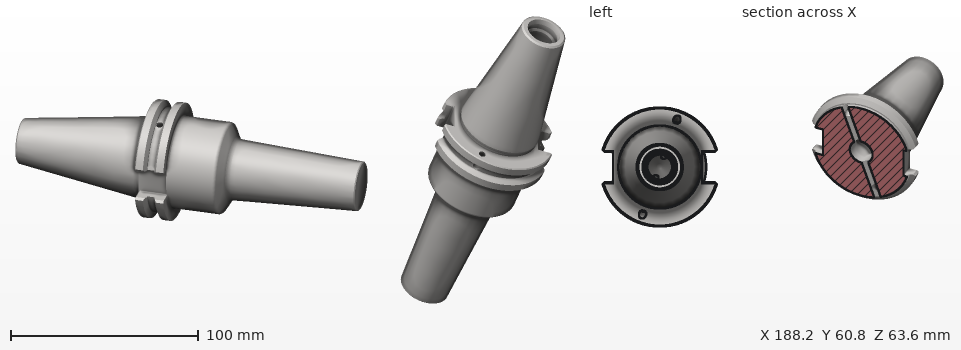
import cadquery as cq
import math

TOTAL_LENGTH = 188.2

GAUGE_X = 68.3
GAUGE_RADIUS = 22.2
TAPER_SLOPE = 7 / 24 / 2
SHANK_CHAMFER_LENGTH = 0.8
SHANK_CHAMFER_HEIGHT = 1.0
COLLAR_RADIUS = 21.8
COLLAR_X = 70.0

FLANGE_FRONT_X = 71.3
FLANGE_BACK_X = 87.2
FLANGE_RADIUS = 31.8
FLANGE_CHAMFER = 0.5
GROOVE_X = 79.5
GROOVE_RADIUS = 28.2
GROOVE_FLOOR_WIDTH = 4.0
GROOVE_FLANK_ANGLE = 30.0
GROOVE_FLANK_FOOT = 29.0
RELIEF_FILLET = 1.0

SLOT_WIDTH = 16.2
SLOT_FLOOR_NEAR = 22.4
SLOT_FLOOR_FAR = 25.0
SLOT_CORNER_FILLET = 0.5
SLOT_EDGE_CHAMFER = 1.5
SLOT_MOUTH_CHAMFER = 0.5

BODY_RADIUS = 24.8
BODY_END_X = 113.7
BODY_EDGE_FILLET = 1.9
SHOULDER_ANGLE = 60.0
NOSE_ROOT_RADIUS = 16.5
NOSE_ROOT_FILLET = 2.6
NOSE_END_RADIUS = 13.4
NOSE_CHAMFER = 0.5

PILOT_RADIUS = 8.5
PILOT_LEAD_RADIUS = 9.2
PILOT_LEAD_LENGTH = 2.6
PILOT_DEPTH = 5.6
THREAD_RADIUS = 7.2
THREAD_CHAMFER = 1.0
THREAD_DEPTH = 32.0
DRILL_RADIUS = 6.5
DRILL_DEPTH = 80.2
DRILL_TIP_ANGLE = 118.0

COOLANT_ANGLE = 20.0
RADIAL_HOLE_RADIUS = 1.9
FACE_HOLE_RADIUS = 1.9
FACE_HOLE_DISTANCE = 27.0
FACE_HOLE_TILT = 30.0


def tip_length(radius):
    """Length of the conical drill tip at the bottom of a hole."""
    return radius / math.tan(math.radians(DRILL_TIP_ANGLE / 2))


def revolve_about_x(points):
    """Solid of revolution about X from the closed outline through (x, radius) points."""
    return cq.Workplane("XY").polyline(points).close().revolve(360, (0, 0, 0), (1, 0, 0))


def shank():
    small_radius = GAUGE_RADIUS - TAPER_SLOPE * GAUGE_X
    chamfer_radius = small_radius + TAPER_SLOPE * SHANK_CHAMFER_LENGTH
    return revolve_about_x([
        (0, 0),
        (0, chamfer_radius - SHANK_CHAMFER_HEIGHT),
        (SHANK_CHAMFER_LENGTH, chamfer_radius),
        (GAUGE_X, GAUGE_RADIUS),
        (COLLAR_X, COLLAR_RADIUS),
        (FLANGE_BACK_X, COLLAR_RADIUS),
        (FLANGE_BACK_X, 0),
    ])


def flange_blank():
    """Flange with its front chamfer and the concave fillet toward the body."""
    fillet_end_x = FLANGE_BACK_X + RELIEF_FILLET
    fillet_top = BODY_RADIUS + RELIEF_FILLET
    fillet_sag = RELIEF_FILLET * (1 - math.sqrt(0.5))
    return (
        cq.Workplane("XY")
        .moveTo(FLANGE_FRONT_X, 0)
        .lineTo(FLANGE_FRONT_X, FLANGE_RADIUS - FLANGE_CHAMFER)
        .lineTo(FLANGE_FRONT_X + FLANGE_CHAMFER, FLANGE_RADIUS)
        .lineTo(FLANGE_BACK_X, FLANGE_RADIUS)
        .lineTo(FLANGE_BACK_X, fillet_top)
        .threePointArc(
            (FLANGE_BACK_X + fillet_sag, BODY_RADIUS + fillet_sag),
            (fillet_end_x, BODY_RADIUS),
        )
        .lineTo(fillet_end_x, 0)
        .close()
        .revolve(360, (0, 0, 0), (1, 0, 0))
    )


def drive_slot(side, floor):
    """Cutter for one drive slot; side is -1 for -Y and +1 for +Y."""
    length = FLANGE_BACK_X + RELIEF_FILLET - FLANGE_FRONT_X
    depth = FLANGE_RADIUS - floor
    slot = (
        cq.Workplane("XY")
        .box(length, depth, SLOT_WIDTH, centered=(False, True, True))
        .translate((FLANGE_FRONT_X, side * (floor + depth / 2), 0))
    )
    floor_face = "<Y" if side > 0 else ">Y"
    return slot.faces(floor_face).edges("|X").fillet(SLOT_CORNER_FILLET)


def slot_mouth_chamfer(side, floor):
    """Cutter that bevels the edges between the front face and the walls of one drive slot."""
    half_mouth = SLOT_WIDTH / 2 + SLOT_MOUTH_CHAMFER
    tip_x = FLANGE_FRONT_X + half_mouth
    return (
        cq.Workplane("XZ", origin=(0, side * floor, 0))
        .polyline([(FLANGE_FRONT_X, -half_mouth), (FLANGE_FRONT_X, half_mouth), (tip_x, 0)])
        .close()
        .extrude(-side * (FLANGE_RADIUS - floor))
    )


def slot_edge_chamfer(side):
    """Cutter that bevels the outer edges of one drive slot."""
    half_slot = SLOT_WIDTH / 2
    rim_y = math.sqrt(FLANGE_RADIUS**2 - half_slot**2)
    foot_y = rim_y - SLOT_EDGE_CHAMFER
    reach = FLANGE_RADIUS - foot_y
    profile = [
        (side * foot_y, -half_slot),
        (side * foot_y, half_slot),
        (side * (foot_y + reach), half_slot + reach),
        (side * (foot_y + reach), -half_slot - reach),
    ]
    return (
        cq.Workplane("YZ", origin=(FLANGE_FRONT_X, 0, 0))
        .polyline(profile)
        .close()
        .extrude(FLANGE_BACK_X - FLANGE_FRONT_X)
    )


def gripper_groove():
    """Ring cutter for the V-shaped groove with a flat, straight-sided bottom."""
    half_floor = GROOVE_FLOOR_WIDTH / 2
    flank_run = (FLANGE_RADIUS - GROOVE_FLANK_FOOT) * math.tan(math.radians(GROOVE_FLANK_ANGLE))
    half_mouth = half_floor + flank_run
    return revolve_about_x([
        (GROOVE_X - half_floor, GROOVE_RADIUS),
        (GROOVE_X - half_floor, GROOVE_FLANK_FOOT),
        (GROOVE_X - half_mouth, FLANGE_RADIUS),
        (GROOVE_X + half_mouth, FLANGE_RADIUS),
        (GROOVE_X + half_floor, GROOVE_FLANK_FOOT),
        (GROOVE_X + half_floor, GROOVE_RADIUS),
    ])


def flange():
    part = flange_blank().cut(gripper_groove())
    for side, floor in ((-1, SLOT_FLOOR_NEAR), (1, SLOT_FLOOR_FAR)):
        part = part.cut(drive_slot(side, floor))
        part = part.cut(slot_mouth_chamfer(side, floor))
        part = part.cut(slot_edge_chamfer(side))
    return part


def body_and_nose():
    shoulder_run = (BODY_RADIUS - NOSE_ROOT_RADIUS) / math.tan(math.radians(SHOULDER_ANGLE))
    shoulder_end_x = BODY_END_X + shoulder_run
    blank = revolve_about_x([
        (FLANGE_BACK_X, 0),
        (FLANGE_BACK_X, BODY_RADIUS),
        (BODY_END_X, BODY_RADIUS),
        (shoulder_end_x, NOSE_ROOT_RADIUS),
        (TOTAL_LENGTH, NOSE_END_RADIUS),
        (TOTAL_LENGTH, 0),
    ])
    blank = blank.faces(">X").edges().chamfer(NOSE_CHAMFER)
    blank = blank.faces("%CONE").faces("<X").edges("<X").fillet(BODY_EDGE_FILLET)
    return blank.faces("%CONE").faces("<X").edges(">X").fillet(NOSE_ROOT_FILLET)


def pull_stud_bore():
    """Cutter for the pilot, the thread core and the blind drilling behind it."""
    return revolve_about_x([
        (0, 0),
        (0, PILOT_LEAD_RADIUS),
        (PILOT_LEAD_LENGTH, PILOT_RADIUS),
        (PILOT_DEPTH, PILOT_RADIUS),
        (PILOT_DEPTH, THREAD_RADIUS + THREAD_CHAMFER),
        (PILOT_DEPTH + THREAD_CHAMFER, THREAD_RADIUS),
        (THREAD_DEPTH, THREAD_RADIUS),
        (THREAD_DEPTH, DRILL_RADIUS),
        (DRILL_DEPTH, DRILL_RADIUS),
        (DRILL_DEPTH + tip_length(DRILL_RADIUS), 0),
    ])


def coolant_holes():
    """Cutters, in +Z, for a radial hole from groove to bore and the oblique hole that feeds it."""
    radial_hole = (
        cq.Workplane("XY", origin=(GROOVE_X, 0, 0))
        .circle(RADIAL_HOLE_RADIUS)
        .extrude(FLANGE_RADIUS)
    )
    tilt = math.radians(FACE_HOLE_TILT)
    direction = cq.Vector(math.cos(tilt), 0, -math.sin(tilt))
    mouth = cq.Vector(FLANGE_FRONT_X, 0, FACE_HOLE_DISTANCE)
    overrun = FACE_HOLE_RADIUS
    length = (GROOVE_X - FLANGE_FRONT_X) / math.cos(tilt)
    face_hole = cq.Workplane(
        cq.Solid.makeCylinder(
            FACE_HOLE_RADIUS, length + overrun, mouth - direction * overrun, direction
        )
    )
    return radial_hole, face_hole


result = shank().union(flange()).union(body_and_nose()).cut(pull_stud_bore())
for half_turn in (0, 180):
    for hole in coolant_holes():
        result = result.cut(hole.rotate((0, 0, 0), (1, 0, 0), COOLANT_ANGLE + half_turn))